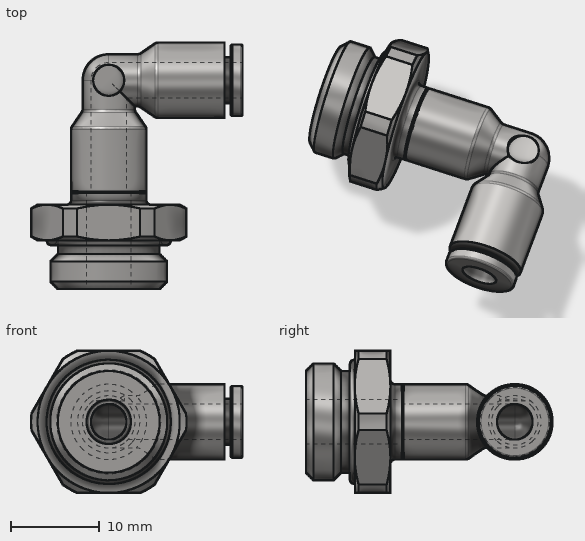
import cadquery as cq


NECK_RADIUS = 2.95
BODY_RADIUS = 4.25
CONE_START = 3.45
CONE_END = 5.35
CONE_BLEND = 0.6

BRANCH_BODY_END = 13.05
COLLAR_GAP = 0.65
COLLAR_LENGTH = 1.35
COLLAR_START = BRANCH_BODY_END + COLLAR_GAP
COLLAR_END = COLLAR_START + COLLAR_LENGTH
COLLAR_RADIUS = 4.05
COLLAR_NECK_RADIUS = 2.6
COLLAR_INNER_CHAMFER = 0.2
COLLAR_OUTER_FILLET = 0.25

STEM_BODY_END = 12.5
SWIVEL_GAP = 0.2
SWIVEL_NECK_RADIUS = 3.5
STUD_START = STEM_BODY_END + SWIVEL_GAP
HEX_FILLET = 0.5

HEX_SIDES = 6
HEX_ACROSS_FLATS = 16.0
HEX_CORNER_RADIUS = 8.75
HEX_FACE_RADIUS = HEX_ACROSS_FLATS / 2
HEX_START = 14.0
HEX_THICKNESS = 4.0
HEX_END = HEX_START + HEX_THICKNESS
HEX_CHAMFER_LENGTH = 0.42

THREAD_DIAMETER = 13.157
THREAD_RADIUS = THREAD_DIAMETER / 2
UNDERCUT_RADIUS = 5.73
THREAD_CHAMFER = THREAD_RADIUS - UNDERCUT_RADIUS
UNDERCUT_END = 19.53
STEM_END = 23.5

SEAL_OUTER_RADIUS = 7.0
SEAL_SECTION_RADIUS = 0.57
SEAL_CENTRE_RADIUS = SEAL_OUTER_RADIUS - SEAL_SECTION_RADIUS

ELBOW_BORE_RADIUS = 2.0
STUD_BORE_RADIUS = 2.5

RECESS_RADIUS = 1.75
RECESS_FLOOR_Z = 2.36


def turned(outline):
    """Revolve (radius, distance) points about the stem axis."""
    points = [(radius, -distance) for radius, distance in outline]
    return cq.Workplane("XY").polyline(points).close().revolve(360, (0, 0), (0, 1))


def stem_cylinder(radius, start, end):
    return turned([(0, start), (radius, start), (radius, end), (0, end)])


def onto_branch(shape):
    """Swing a shape from the stem axis to the branch axis."""
    return shape.rotate((0, 0, 0), (0, 0, 1), 90)


def elbow_arm(body_end):
    """Thin neck that widens through a blended cone into the arm body."""
    arm = turned([
        (0, 0),
        (NECK_RADIUS, 0),
        (NECK_RADIUS, CONE_START),
        (BODY_RADIUS, CONE_END),
        (BODY_RADIUS, body_end),
        (0, body_end),
    ])
    return arm.faces("%CONE").edges("%CIRCLE").fillet(CONE_BLEND)


def release_collar():
    neck = stem_cylinder(COLLAR_NECK_RADIUS, BRANCH_BODY_END, COLLAR_START)
    flange = stem_cylinder(COLLAR_RADIUS, COLLAR_START, COLLAR_END)
    flange = flange.faces(">Y").edges().chamfer(COLLAR_INNER_CHAMFER)
    flange = flange.faces("<Y").edges().fillet(COLLAR_OUTER_FILLET)
    return neck.union(flange)


def swivel():
    """Groove neck and the round collar that flares into the hexagon."""
    neck = stem_cylinder(SWIVEL_NECK_RADIUS, STEM_BODY_END, STUD_START)
    flare_start = HEX_START - HEX_FILLET
    flare_radius = BODY_RADIUS + HEX_FILLET
    collar = (
        cq.Workplane("XY")
        .moveTo(0, -STUD_START)
        .lineTo(BODY_RADIUS, -STUD_START)
        .lineTo(BODY_RADIUS, -flare_start)
        .radiusArc((flare_radius, -HEX_START), -HEX_FILLET)
        .lineTo(0, -HEX_START)
        .close()
        .revolve(360, (0, 0), (0, 1))
    )
    return neck.union(collar)


def hexagon():
    """Hexagon with flats on +Z and -Z, its corners rounded and chamfered by turning."""
    prism = (
        cq.Workplane("XZ", origin=(0, -HEX_START, 0))
        .transformed(rotate=(0, 0, 180 / HEX_SIDES))
        .polygon(HEX_SIDES, HEX_ACROSS_FLATS, circumscribed=True)
        .extrude(HEX_THICKNESS)
    )
    turned_blank = turned([
        (0, HEX_START),
        (HEX_FACE_RADIUS, HEX_START),
        (HEX_CORNER_RADIUS, HEX_START + HEX_CHAMFER_LENGTH),
        (HEX_CORNER_RADIUS, HEX_END - HEX_CHAMFER_LENGTH),
        (HEX_FACE_RADIUS, HEX_END),
        (0, HEX_END),
    ])
    return prism.intersect(turned_blank)


def spigot():
    """Undercut and chamfered thread below the hexagon."""
    return turned([
        (0, HEX_END),
        (UNDERCUT_RADIUS, HEX_END),
        (UNDERCUT_RADIUS, UNDERCUT_END),
        (THREAD_RADIUS, UNDERCUT_END + THREAD_CHAMFER),
        (THREAD_RADIUS, STEM_END - THREAD_CHAMFER),
        (THREAD_RADIUS - THREAD_CHAMFER, STEM_END),
        (0, STEM_END),
    ])


def sealing_ring():
    return (
        cq.Workplane("XY")
        .center(SEAL_CENTRE_RADIUS, -HEX_END)
        .circle(SEAL_SECTION_RADIUS)
        .revolve(360, (-SEAL_CENTRE_RADIUS, 0), (-SEAL_CENTRE_RADIUS, 1))
    )


def passages():
    """Bore through both arms with a ball-shaped corner, wider inside the stud."""
    stem_bore = stem_cylinder(ELBOW_BORE_RADIUS, 0, STEM_END)
    branch_bore = onto_branch(stem_cylinder(ELBOW_BORE_RADIUS, 0, COLLAR_END))
    corner = cq.Workplane("XY").sphere(ELBOW_BORE_RADIUS)
    stud_bore = stem_cylinder(STUD_BORE_RADIUS, STUD_START, STEM_END)
    return stem_bore.union(branch_bore).union(corner).union(stud_bore)


def top_recess():
    return (
        cq.Workplane("XY", origin=(0, 0, RECESS_FLOOR_Z))
        .circle(RECESS_RADIUS)
        .extrude(NECK_RADIUS)
    )


elbow = (
    cq.Workplane("XY")
    .sphere(NECK_RADIUS)
    .union(elbow_arm(STEM_BODY_END))
    .union(onto_branch(elbow_arm(BRANCH_BODY_END)))
    .union(onto_branch(release_collar()))
)
stud = swivel().union(hexagon()).union(spigot()).union(sealing_ring())

result = elbow.union(stud).cut(passages()).cut(top_recess()).solids()